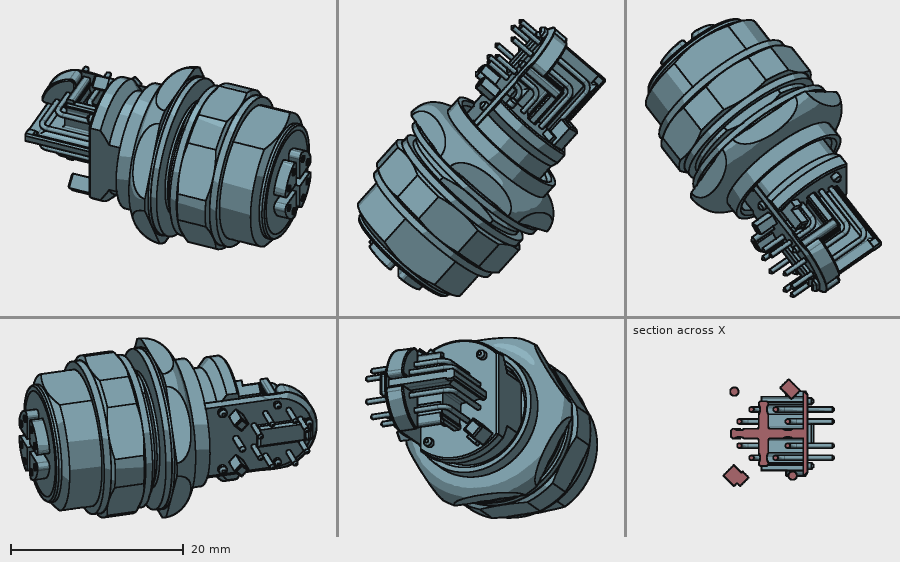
import cadquery as cq
import math


TINY = 0.01
OVERSHOOT = 1.0

carrier_face_x = 9.4
flange_cone_x = 10.86
neck_x = 11.96
shell_x = 13.74
dome_x = 15.6
seal_x = 18.6
seal_step_x = 18.9
groove_x = 19.63
thread_start_x = 19.96
nut_x = 21.1
thread_end_x = 30.83
lip_x = 31.46
front_x = 32.05
insert_end_x = 33.47
overall_length = 33.55

flange_radius = 7.28
flange_edge = 0.2
core_radius = 12.4 / 2
lower_flat_y = -5.3
plate_bottom_y = 4.6
plate_top_y = 5.12
flat_end_x = shell_x + 2.0

plate_tip_radius = 5.2
plate_half_width = 4.93
plate_edge_rise = 0.45
plate_edge_run = 0.7
ear_bottom_y = 2.55
ear_end_x = 4.4
ear_gap = 1.28
ear_radius = 5.16
ear_outer_corner = 0.6
ear_tip_corner = 0.5
ear_inner_corner = 0.35
ear_edge = 0.15

elbow_offset = 4.96
web_half = 0.57
web_tip_x = 0.75
web_bottom_y = -3.78
web_edge = 0.22
web_fillet = 0.2
cross_half_width = 3.78
wing_half_width = 4.3
wing_half = 0.46
wing_bottom_y = -0.25
wing_corner = 0.2
tip_half = 0.42
tip_relief_y = -2.7
wall_relief_z = 1.86
channel_radius = 1.0

pitch = 1.4
wire_diameter = 0.6
wire_bend = 1.0
wire_tip_y = 8.2
wire_tip_chamfer = 0.22
wire_positions = [(y, side * z) for y, z in
                  ((-2 * pitch, pitch), (-pitch, 2 * pitch), (pitch, 2 * pitch), (2 * pitch, pitch))
                  for side in (1, -1)]

collar_radius = 15.0 / 2
mouth_radius = 13.8 / 2
bore_radius = 13.0 / 2
mouth_depth = 0.4
dome_radius = 10.5
hex_across_flats = 19.0
seal_radius = 9.5
seal_step_radius = 9.43
groove_radius = 13.8 / 2
thread_radius = 8.0
thread_flats = 14.0
thread_chamfer_end_x = 20.55
lip_radius = 6.75
lip_chamfer = 0.24

nut_length = 5.84
nut_rim = 0.84
nut_rim_radius = 17.9 / 2
nut_across_flats = 18.0
nut_corner_radius = 9.5
nut_chamfer = 0.33
nut_chamfer_depth = nut_corner_radius - nut_across_flats / 2


def rod(diameter, start, direction, length):
    """Solid cylinder from a start point."""
    return cq.Workplane(cq.Solid.makeCylinder(diameter / 2, length, cq.Vector(*start), cq.Vector(*direction)))


def box(x0, x1, y0, y1, z0, z1):
    """Box between two opposite corners."""
    return cq.Workplane("XY").box(x1 - x0, y1 - y0, z1 - z0, centered=False).translate((x0, y0, z0))


def turned(points):
    """Solid of revolution about X from (x, radius) points."""
    return cq.Workplane("XY").polyline(points).close().revolve(360, (0, 0, 0), (1, 0, 0))


def hex_bar(x0, x1, across_flats):
    """Hexagonal bar along X with flats facing +Z and -Z."""
    across_corners = across_flats / math.cos(math.pi / 6)
    return cq.Workplane("YZ", origin=(x0, 0, 0)).polygon(6, across_corners).extrude(x1 - x0)



def carrier_core():
    core = turned([
        (carrier_face_x, 0),
        (carrier_face_x, flange_radius - flange_edge),
        (carrier_face_x + flange_edge, flange_radius),
        (flange_cone_x, flange_radius),
        (neck_x, core_radius),
        (front_x, core_radius),
        (front_x, 0),
    ])
    reach = 2 * flange_radius
    start = carrier_face_x - OVERSHOOT
    core = core.cut(box(start, flat_end_x, -reach, lower_flat_y, -reach, reach))
    core = core.cut(box(start, flat_end_x, plate_bottom_y, reach, -reach, reach))
    return core.faces("<X").edges("<Y").chamfer(flange_edge)


def tip_outline(y, height, radius, end_x):
    """Round-tipped outline, concentric with the plate tip, extruded along Y."""
    disc = rod(2 * radius, (plate_tip_radius, y, 0), (0, 1, 0), height)
    tail = box(plate_tip_radius, shell_x, y, y + height, -radius, radius)
    return disc.union(tail).intersect(box(0, end_x, y, y + height, -radius, radius))


def board_plate():
    thickness = plate_top_y - plate_bottom_y
    plate = tip_outline(plate_bottom_y, thickness, plate_tip_radius, shell_x)
    plate = plate.intersect(box(0, shell_x, plate_bottom_y, plate_top_y, -plate_half_width, plate_half_width))
    bevel = cq.Solid.makeCone(
        plate_tip_radius, plate_tip_radius - plate_edge_run, plate_edge_rise,
        cq.Vector(plate_tip_radius, plate_top_y - plate_edge_rise, 0), cq.Vector(0, 1, 0))
    lower_disc = rod(2 * plate_tip_radius, (plate_tip_radius, plate_bottom_y, 0), (0, 1, 0),
                     thickness - plate_edge_rise)
    tail = box(plate_tip_radius, shell_x, plate_bottom_y, plate_top_y, -plate_half_width, plate_half_width)
    tail = tail.edges("|X and >Y").chamfer(plate_edge_rise, plate_edge_rise)
    bevelled = lower_disc.union(cq.Workplane(bevel)).union(tail)
    seat_x = shell_x - OVERSHOOT
    seat = rod(2 * core_radius, (seat_x, 0, 0), (1, 0, 0), flat_end_x - seat_x)
    seat = seat.intersect(box(seat_x, flat_end_x, plate_bottom_y - OVERSHOOT, plate_top_y,
                              -core_radius, core_radius))
    return plate.intersect(bevelled).union(seat)


def ears():
    height = plate_bottom_y - ear_bottom_y
    outline = tip_outline(ear_bottom_y, height, ear_radius, ear_end_x)
    upper = outline.intersect(box(0, ear_end_x, ear_bottom_y, plate_bottom_y, ear_gap / 2, ear_radius))
    upper = upper.edges("|Y").edges(">Z").fillet(ear_outer_corner)
    upper = upper.edges("|Y").edges("<X").fillet(ear_tip_corner)
    upper = upper.edges("|Y").edges("<Z").edges(">X").fillet(ear_inner_corner)
    upper = upper.faces("<Y").edges().chamfer(ear_edge)
    return upper.union(upper.mirror("XY"))


def elbow_path(y, z):
    """Square-cornered path from the board plate down to height y and along X to the flange."""
    x = y + elbow_offset
    return cq.Workplane("XY", origin=(0, 0, z)).polyline([(x, plate_bottom_y), (x, y), (carrier_face_x, y)])


def channel(y, z):
    """Clearance channel that follows one wire."""
    start = cq.Workplane("XZ", origin=(y + elbow_offset, plate_bottom_y, z))
    return start.circle(channel_radius).sweep(elbow_path(y, z), transition="right")


def cross_web():
    """Web across the central one: bevelled outer edges and fillets at the crossing."""
    root = web_half + web_fillet
    middle = root - web_fillet * math.sqrt(0.5)
    profile = (
        cq.Workplane("XZ", origin=(elbow_offset, plate_bottom_y, 0))
        .moveTo(root, 0)
        .lineTo(root, web_half)
        .threePointArc((middle, middle), (web_half, root))
        .lineTo(web_half, cross_half_width - web_edge)
        .lineTo(web_half - web_edge, cross_half_width)
        .lineTo(0, cross_half_width)
        .mirrorX().mirrorY()
    )
    return profile.sweep(elbow_path(0, 0), transition="right")


def thinning(start_x, end_x, bottom_y, inner_z):
    """Pair of cutting blocks above and below |z| = inner_z, open toward the board plate."""
    upper = box(start_x, end_x, bottom_y, plate_bottom_y, inner_z, wing_half_width)
    return upper.union(upper.mirror("XY"))


def shield_cross():
    web = box(web_tip_x, carrier_face_x, web_bottom_y, plate_bottom_y, -web_half, web_half)
    web = web.edges("|X and <Y").chamfer(web_edge)
    wing = box(elbow_offset - wing_half, elbow_offset + wing_half, wing_bottom_y, plate_bottom_y,
               -wing_half_width, wing_half_width).edges("|Y").fillet(wing_corner)
    web = web.cut(thinning(0, -2 * pitch + elbow_offset, tip_relief_y, tip_half))
    cross = cross_web().cut(thinning(0, elbow_offset - wing_half, wing_bottom_y, wall_relief_z))
    cross = cross.union(web).union(wing)
    for y, z in wire_positions:
        cross = cross.cut(channel(y, z))
    return cross


def wire(y, z):
    """Bent contact wire from its solder tip to inside the body."""
    x = y + elbow_offset
    path = (
        cq.Workplane("XY", origin=(0, 0, z))
        .moveTo(x, wire_tip_y)
        .lineTo(x, y + wire_bend)
        .radiusArc((x + wire_bend, y), -wire_bend)
        .lineTo(carrier_face_x + OVERSHOOT, y)
    )
    bent = cq.Workplane("XZ", origin=(x, wire_tip_y, z)).circle(wire_diameter / 2).sweep(path)
    return bent.faces(">Y").chamfer(wire_tip_chamfer)


key_tilt = 45
key_start_x = 6.46
key_edge = 0.2
key_step_x = 8.57
key_step_length = 1.42
upper_key = dict(y=3.32, z=4.91, along=1.42, across=1.2, step=0.68, shift=0, outward=1)
lower_key = dict(y=-3.43, z=-4.87, along=1.75, across=1.75, step=0.5, shift=0.35, outward=-1)


def key(y, z, along, across, step, shift, outward):
    """Rectangular key with a short step on one side of its foot, tilted about X."""
    length = carrier_face_x - key_start_x + TINY
    foot = carrier_face_x - key_step_x + TINY
    block = cq.Workplane("YZ", origin=(key_start_x, 0, 0)).rect(along, across).extrude(length)
    block = block.faces("<X").chamfer(key_edge)
    ledge = cq.Workplane("YZ", origin=(key_step_x, shift, outward * across / 2))
    ledge = ledge.rect(key_step_length, 2 * step).extrude(foot)
    return block.union(ledge).rotate((0, 0, 0), (1, 0, 0), key_tilt).translate((0, y, z))


peg_diameter = 1.0
peg_height = 0.95
peg_chamfer = 0.3
face_peg_y = 3.38
face_peg_z = 4.87


def face_pegs():
    pegs = []
    for side in (1, -1):
        start = (carrier_face_x + TINY, -side * face_peg_y, side * face_peg_z)
        pegs.append(rod(peg_diameter, start, (-1, 0, 0), peg_height).faces("<X").chamfer(peg_chamfer))
    return pegs


pad_top_y = 5.83
pad_start_x = 1.6
pad_end_x = 7.4
pad_half_width = 1.35
pad_chamfer = 0.3
small_peg_diameter = 0.8
rib_x = 1.18
rib_length = 2.7
rib_width = 0.84
board_pegs = [
    (elbow_offset, 3.75, small_peg_diameter),
    (11.6, 3.75, peg_diameter),
]
post_x = 9.91
post_z = 3.01
post_side = 1.22
post_top_y = 7.55
post_tilt = 45
post_chamfer = 0.15
ground_pin_diameter = 0.72
ground_pin_tip_y = 8.15
ground_pin_chamfer = 0.3


def board_side_details():
    """Pad, rib, pegs, square posts and ground pin on the outer side of the plate."""
    base_y = plate_top_y - TINY
    pad = box(pad_start_x, pad_end_x, base_y, pad_top_y, -pad_half_width, pad_half_width)
    rib = cq.Workplane("XZ", origin=(rib_x, base_y, 0)).slot2D(rib_length, rib_width, 90)
    rib = rib.extrude(base_y - pad_top_y)
    details = [body.faces(">Y").chamfer(pad_chamfer) for body in (pad, rib)]
    peg_rise = pad_top_y - base_y
    for side in (1, -1):
        for x, z, diameter in board_pegs:
            peg = rod(diameter, (x, base_y, side * z), (0, 1, 0), peg_rise)
            details.append(peg.faces(">Y").chamfer(pad_chamfer))
        post = (cq.Workplane("XZ").rect(post_side, post_side).extrude(base_y - post_top_y)
                .faces(">Y").chamfer(post_chamfer).rotate((0, 0, 0), (0, 1, 0), post_tilt)
                .translate((post_x, base_y, side * post_z)))
        details.append(post)
    pin = rod(ground_pin_diameter, (post_x, base_y, 0), (0, 1, 0), ground_pin_tip_y - base_y)
    details.append(pin.faces(">Y").chamfer(ground_pin_chamfer))
    return details


insert_count = 4
insert_radius = 4.05
insert_gap = 1.1
insert_corner = 0.55
contact_diameter = 0.8


def mating_insert():
    """Four quarter-round blocks with two contact ends on each face."""
    length = insert_end_x - front_x
    disc = rod(2 * insert_radius, (front_x, 0, 0), (1, 0, 0), length)
    inner = insert_gap / 2
    quarter = disc.intersect(box(front_x, insert_end_x, inner, insert_radius, inner, insert_radius))
    quarter = quarter.edges("|X").edges(">Y or >Z").fillet(insert_corner)
    blocks = [quarter.rotate((0, 0, 0), (1, 0, 0), 360 / insert_count * i) for i in range(insert_count)]
    start_x = insert_end_x - TINY
    ends = [rod(contact_diameter, (start_x, y, z), (1, 0, 0), overall_length - start_x)
            for y, z in wire_positions]
    return blocks + ends


def make_carrier():
    carrier = carrier_core().union(board_plate()).union(ears()).union(shield_cross())
    for y, z in wire_positions:
        carrier = carrier.union(wire(y, z))
    for sizes in (upper_key, lower_key):
        carrier = carrier.union(key(**sizes))
    for piece in face_pegs() + board_side_details() + mating_insert():
        carrier = carrier.union(piece)
    return carrier



def make_shell():
    collar = rod(2 * collar_radius, (shell_x, 0, 0), (1, 0, 0), dome_x - shell_x + TINY)
    size = seal_x - dome_x
    dome = (
        rod(2 * dome_radius, (dome_x, 0, 0), (1, 0, 0), size + OVERSHOOT)
        .faces("<X").edges().fillet(size)
        .intersect(hex_bar(dome_x, seal_x, hex_across_flats))
    )
    seal = turned([
        (seal_x - TINY, 0), (seal_x - TINY, seal_radius),
        (seal_step_x, seal_radius), (seal_step_x, seal_step_radius),
        (groove_x, seal_step_radius), (groove_x, 0),
    ])
    thread = turned([
        (groove_x - TINY, 0), (groove_x - TINY, groove_radius),
        (thread_start_x, groove_radius), (thread_chamfer_end_x, thread_radius),
        (thread_end_x, thread_radius), (lip_x, groove_radius),
        (front_x - lip_chamfer, groove_radius), (front_x, lip_radius), (front_x, 0),
    ])
    half = thread_flats / 2
    thread = thread.intersect(box(seal_x, front_x, -thread_radius, thread_radius, -half, half))
    bore = turned([
        (shell_x, 0), (shell_x, mouth_radius), (shell_x + mouth_depth, bore_radius),
        (flat_end_x, bore_radius), (flat_end_x, core_radius), (front_x, core_radius), (front_x, 0),
    ])
    return collar.union(dome).union(seal).union(thread).cut(bore)



def make_nut():
    end_x = nut_x + nut_length
    rim = rod(2 * nut_rim_radius, (nut_x, 0, 0), (1, 0, 0), nut_length)
    start = nut_x + nut_rim
    stop = end_x - nut_rim
    hexagon = (
        rod(2 * nut_corner_radius, (start, 0, 0), (1, 0, 0), stop - start)
        .faces("<X or >X").chamfer(nut_chamfer, nut_chamfer_depth)
        .intersect(hex_bar(start, stop, nut_across_flats))
    )
    hole = rod(2 * thread_radius, (nut_x, 0, 0), (1, 0, 0), nut_length)
    return rim.union(hexagon).cut(hole)


carrier = make_carrier()
shell = make_shell()
nut = make_nut()
result = cq.Compound.makeCompound([body.solids().val() for body in (carrier, shell, nut)])